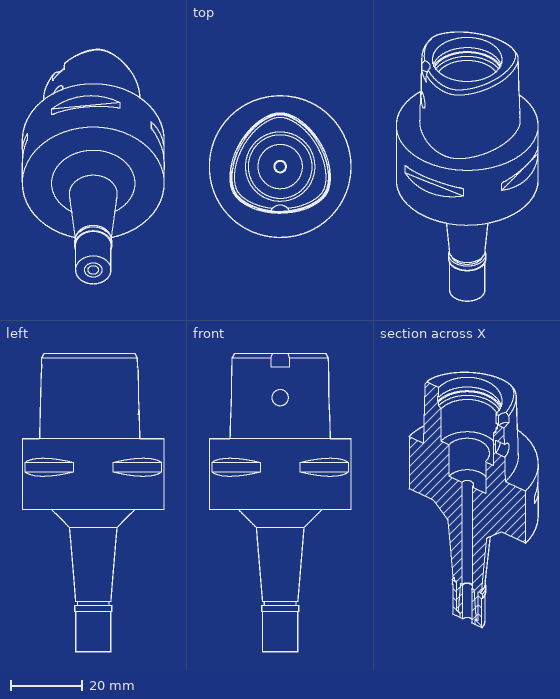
import cadquery as cq
import math


shank_length = 24.0
shank_base_radius = 14.15
lobe_height = 1.0
taper_ratio = 1 / 40
lead_in_height = 1.3
lead_in_width = 0.7
outline_points = 24

mouth_radius = 9.78
undercut_radius = 10.2
undercut_start = 3.7
undercut_end = 5.5
bore_cone_start = 6.9
bore_radius = 8.97
bore_cone_end = bore_cone_start + (mouth_radius - bore_radius)
bore_depth = 20.0
thread_hole_radius = 6.25
thread_hole_depth = 32.0
coolant_radius = 1.75

notch_radius = 2.9
notch_inner_y = -10.8
notch_depth = 3.8
cross_hole_radius = 2.3
cross_hole_depth = 12.45
cross_hole_floor_y = -9.7

flange_radius = 20.0
flange_height = 20.0
groove_count = 4
groove_depth_below_face = 8.05
groove_floor_distance = 17.5
groove_floor_height = 2.6
groove_mouth_height = 5.1

cone_top_radius = 11.75
cone_height = 5.0
neck_top_radius = cone_top_radius - cone_height
neck_bottom_radius = 5.0
overall_length = 84.0
tip_z = shank_length - overall_length

nut_length = 13.05
nut_radius = 5.0
nut_collar_radius = 5.25
nut_collar_height = 1.75
nut_bore_radius = 3.75
nut_cap_thickness = 2.0
relief_height = 1.05
relief_radius = 4.5

collet_front_radius = 2.5
collet_large_radius = 3.0
collet_small_radius = 2.25
collet_bore_radius = 1.5
collet_length = 13.0

flange_bottom_z = -flange_height
neck_top_z = flange_bottom_z - cone_height
nut_top_z = tip_z + nut_length
neck_bottom_z = nut_top_z + relief_height
spigot_end_z = tip_z + nut_cap_thickness
collet_top_z = tip_z + collet_length


def revolve_profile(points):
    """Solid of revolution about Z from (radius, z) points."""
    return cq.Workplane("XZ").polyline(points).close().revolve(360, (0, 0), (0, 1))


def lobed_outline(mean_radius, z):
    """Closed three-lobed curve with one lobe on +Y; its width in any direction is twice the mean radius."""
    def point(angle):
        x = mean_radius * math.cos(angle) - lobe_height * (2 * math.cos(2 * angle) - math.cos(4 * angle))
        y = mean_radius * math.sin(angle) + lobe_height * (2 * math.sin(2 * angle) + math.sin(4 * angle))
        return cq.Vector(y, -x, z)

    points = [point(2 * math.pi * i / outline_points) for i in range(outline_points)]
    return cq.Wire.assembleEdges([cq.Edge.makeSpline(points, periodic=True)])


def make_shank():
    bevel_z = shank_length - lead_in_height
    bevel_radius = shank_base_radius - bevel_z * taper_ratio
    base = lobed_outline(shank_base_radius, 0)
    bevel = lobed_outline(bevel_radius, bevel_z)
    end = lobed_outline(bevel_radius - lead_in_width, shank_length)
    taper = cq.Workplane(cq.Solid.makeLoft([base, bevel], True))
    lead_in = cq.Workplane(cq.Solid.makeLoft([bevel, end], True))
    return taper.union(lead_in)


def make_flange_and_neck():
    return revolve_profile([
        (0, 0),
        (flange_radius, 0),
        (flange_radius, flange_bottom_z),
        (cone_top_radius, flange_bottom_z),
        (neck_top_radius, neck_top_z),
        (neck_bottom_radius, neck_bottom_z),
        (relief_radius, neck_bottom_z),
        (relief_radius, nut_top_z),
        (nut_bore_radius, nut_top_z),
        (nut_bore_radius, spigot_end_z),
        (0, spigot_end_z),
    ])


def make_bore():
    """Stepped shank bore, coolant hole and tapered collet seat."""
    top = shank_length
    return revolve_profile([
        (0, top),
        (mouth_radius, top),
        (mouth_radius, top - undercut_start),
        (undercut_radius, top - undercut_start),
        (undercut_radius, top - undercut_end),
        (mouth_radius, top - undercut_end),
        (mouth_radius, top - bore_cone_start),
        (bore_radius, top - bore_cone_end),
        (bore_radius, top - bore_depth),
        (thread_hole_radius, top - bore_depth),
        (thread_hole_radius, top - thread_hole_depth),
        (coolant_radius, top - thread_hole_depth),
        (coolant_radius, collet_top_z),
        (collet_small_radius, collet_top_z),
        (collet_large_radius, spigot_end_z),
        (0, spigot_end_z),
    ])


def make_notch():
    return (
        cq.Workplane("XY", origin=(0, notch_inner_y - notch_radius, shank_length - notch_depth))
        .circle(notch_radius)
        .extrude(notch_depth)
    )


def make_cross_hole():
    return (
        cq.Workplane("XZ", origin=(0, cross_hole_floor_y, shank_length - cross_hole_depth))
        .circle(cross_hole_radius)
        .extrude(flange_radius)
    )


def make_gripper_groove(angle):
    """Groove with a flat floor and flaring sides, cut straight across the flange rim."""
    half_floor = groove_floor_height / 2
    half_mouth = groove_mouth_height / 2
    return (
        cq.Workplane("XZ", origin=(0, 0, -groove_depth_below_face))
        .polyline([
            (groove_floor_distance, -half_floor),
            (flange_radius, -half_mouth),
            (flange_radius, half_mouth),
            (groove_floor_distance, half_floor),
        ])
        .close()
        .extrude(flange_radius, both=True)
        .rotate((0, 0, 0), (0, 0, 1), angle)
    )


def make_holder():
    holder = make_flange_and_neck().union(make_shank())
    holder = holder.cut(make_bore()).cut(make_notch()).cut(make_cross_hole())
    spacing = 360 / groove_count
    for i in range(groove_count):
        holder = holder.cut(make_gripper_groove((i + 0.5) * spacing))
    return holder


def make_nut():
    collar_bottom_z = nut_top_z - nut_collar_height
    return revolve_profile([
        (nut_bore_radius, nut_top_z),
        (nut_collar_radius, nut_top_z),
        (nut_collar_radius, collar_bottom_z),
        (nut_radius, collar_bottom_z),
        (nut_radius, tip_z),
        (collet_front_radius, tip_z),
        (collet_front_radius, spigot_end_z),
        (nut_bore_radius, spigot_end_z),
    ])


def make_collet():
    return revolve_profile([
        (collet_bore_radius, collet_top_z),
        (collet_small_radius, collet_top_z),
        (collet_large_radius, spigot_end_z),
        (collet_front_radius, spigot_end_z),
        (collet_front_radius, tip_z),
        (collet_bore_radius, tip_z),
    ])


holder = make_holder()
nut = make_nut()
collet = make_collet()

result = cq.Compound.makeCompound([holder.solids().val(), nut.val(), collet.val()])